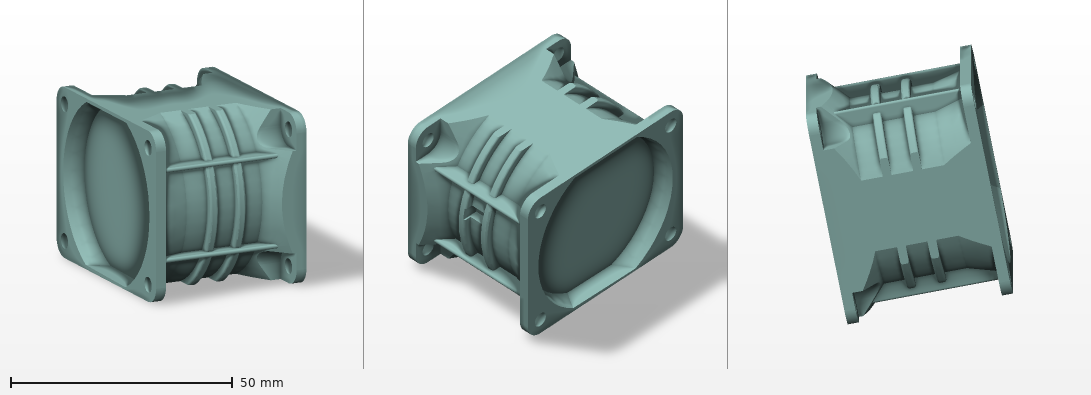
import cadquery as cq

width = 50.0
length = 38.0
height = 40.0
front_y = -length / 2
rear_y = length / 2
corner_signs = [(x_side, z_side) for x_side in (-1, 1) for z_side in (-1, 1)]

flange_thickness = 2.5
corner_radius = 4.0
hole_radius = 1.8
hole_x = width / 2 - corner_radius
hole_z = height / 2 - corner_radius
gap_between_flanges = length - 2 * flange_thickness

barrel_radius = 21.7
front_cone_start_y = -9.6
front_cone_radius = 23.5
rear_cone_start_y = 9.5

ring_radius = 23.65
ring_width = 2.0
ring_y = 3.5
ring_fillet = 0.5

rib_thickness = 1.0
rib_half_span = 22.8
rib_z = 10.55

recess_depth = 4.75
recess_radius = 21.65
recess_floor_radius = 20.45
recess_top_z = 19.2
recess_bottom_left_z = -19.0
recess_bottom_right_z = -19.4
recess_flat_half_width = 10.5

window_y_min = -2.15
window_y_max = 2.9
window_z_min = 2.0
window_z_max = 5.05
window_floor_radius = 19.5


def cylinder(radius, y_start, y_end):
    """Solid cylinder on the Y axis."""
    return cq.Workplane("XZ", origin=(0, y_start, 0)).circle(radius).extrude(y_start - y_end)


def make_barrel():
    """Revolved barrel; its rear cone flares at 45 degrees past the envelope."""
    front_inner_y = front_y + flange_thickness
    rear_radius = barrel_radius + rear_y - rear_cone_start_y
    profile = [
        (0, front_inner_y),
        (front_cone_radius, front_inner_y),
        (barrel_radius, front_cone_start_y),
        (barrel_radius, rear_cone_start_y),
        (rear_radius, rear_y),
        (0, rear_y),
    ]
    return cq.Workplane("XY").polyline(profile).close().revolve(360, (0, 0, 0), (0, 1, 0))


def make_ring(y_centre):
    """Disc with rounded rims that stands proud of the barrel."""
    half = ring_width / 2
    return cylinder(ring_radius, y_centre - half, y_centre + half).edges().fillet(ring_fillet)


def make_rib_plate(z_centre):
    """Plate through the barrel whose rounded side edges form two ribs."""
    plate = cq.Workplane("XZ").slot2D(2 * rib_half_span, rib_thickness)
    return plate.extrude(gap_between_flanges / 2, both=True).translate((0, 0, z_centre))


def make_flange(y_start):
    """Rounded rectangular flange plate."""
    plate = cq.Workplane("XY").box(width, flange_thickness, height)
    return plate.edges("|Y").fillet(corner_radius).translate((0, y_start + flange_thickness / 2, 0))


def make_corner_pocket(x_side, z_side):
    """Screw clearance in the rear cone, with a round inner corner, open at the outer corner."""
    size = 4 * corner_radius
    depth = rear_y - flange_thickness - rear_cone_start_y
    pocket = cq.Workplane("XY").box(size, depth, size).edges("|Y").fillet(corner_radius)
    inner_x = width / 2 - 2 * corner_radius
    inner_z = height / 2 - 2 * corner_radius
    middle_y = rear_cone_start_y + depth / 2
    return pocket.translate((x_side * (inner_x + size / 2), middle_y, z_side * (inner_z + size / 2)))


def make_recess():
    """Tapered front recess, cut off flat at the top and on a slight slope below."""
    floor_y = front_y + recess_depth
    cone_profile = [
        (0, front_y),
        (recess_radius, front_y),
        (recess_floor_radius, floor_y),
        (0, floor_y),
    ]
    cone = cq.Workplane("XY").polyline(cone_profile).close().revolve(360, (0, 0, 0), (0, 1, 0))
    slope = (recess_bottom_right_z - recess_bottom_left_z) / (2 * recess_flat_half_width)
    middle_z = (recess_bottom_right_z + recess_bottom_left_z) / 2
    half_width = width / 2
    limits = [
        (-half_width, recess_top_z),
        (half_width, recess_top_z),
        (half_width, middle_z + slope * half_width),
        (-half_width, middle_z - slope * half_width),
    ]
    clip = cq.Workplane("XZ", origin=(0, front_y, 0)).polyline(limits).close().extrude(-recess_depth)
    return cone.intersect(clip)


def make_window():
    """Rectangular pocket with a floor concentric with the barrel."""
    opening = (
        cq.Workplane("XY")
        .box(width / 2, window_y_max - window_y_min, window_z_max - window_z_min, centered=False)
        .translate((-width / 2, window_y_min, window_z_min))
    )
    return opening.cut(cylinder(window_floor_radius, window_y_min, window_y_max))


body = make_barrel()
for y_centre in (-ring_y, ring_y):
    body = body.union(make_ring(y_centre))
for z_centre in (-rib_z, rib_z):
    body = body.union(make_rib_plate(z_centre))
body = body.intersect(cq.Workplane("XY").box(width, gap_between_flanges, height))

for x_side, z_side in corner_signs:
    body = body.cut(make_corner_pocket(x_side, z_side))

result = body.union(make_flange(front_y)).union(make_flange(rear_y - flange_thickness))
result = result.cut(make_recess()).cut(make_window())
for x_side, z_side in corner_signs:
    hole = cylinder(hole_radius, front_y, rear_y).translate((x_side * hole_x, 0, z_side * hole_z))
    result = result.cut(hole)